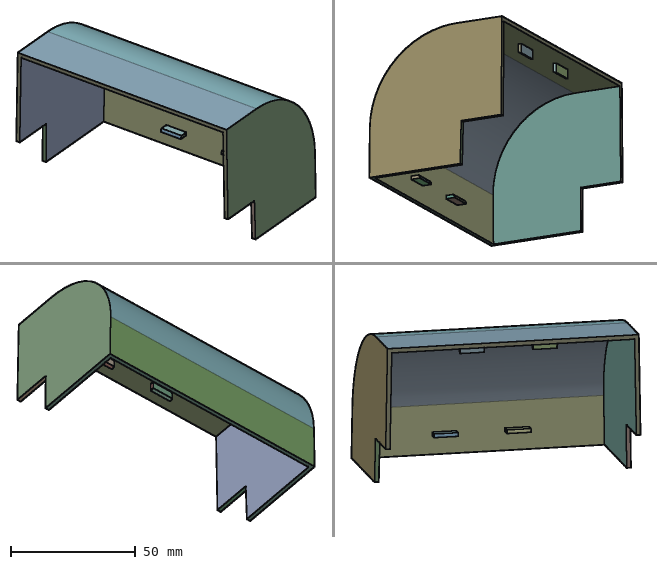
import cadquery as cq
import math

width = 105.6
leg_span = 59.6
wall = 1.8
outer_radius = 39.0
cheek_depth = 41.5
draft_slope = math.tan(math.radians(1.0))

tooth_width = 9.9
tooth_spacing = 30.0
tooth_height = 3.9
tooth_thickness = 1.4
nose_radius = 1.9
tooth_inset = 7.9

half_span = leg_span / 2
front, back = -half_span, half_span
bottom, top = -half_span, half_span
bend_y, bend_z = back - outer_radius, top - outer_radius


def bent_profile(inset):
    """L-shaped side area with a rounded outer corner, offset inwards from the outer plates."""
    radius = outer_radius - inset
    mid = radius * math.sqrt(0.5)
    return (
        cq.Workplane("YZ")
        .moveTo(front, bottom)
        .lineTo(front, top - inset)
        .lineTo(bend_y, top - inset)
        .threePointArc((bend_y + mid, bend_z + mid), (back - inset, bend_z))
        .lineTo(back - inset, bottom)
        .close()
        .extrude(width / 2, both=True)
    )


def drafted_block(bottom_half_width):
    """Full-depth block whose two X sides lean inwards towards the top."""
    top_half_width = bottom_half_width - draft_slope * leg_span
    return (
        cq.Workplane("XZ")
        .polyline([
            (-bottom_half_width, bottom),
            (bottom_half_width, bottom),
            (top_half_width, top),
            (-top_half_width, top),
        ])
        .close()
        .extrude(half_span, both=True)
    )


def corner_notch():
    """Open inner corner of the cheeks, its upright edge leaning back towards the bottom."""
    notch_top = top - cheek_depth
    notch_back = back - cheek_depth
    lean = draft_slope * (notch_top - bottom)
    return (
        cq.Workplane("YZ")
        .polyline([
            (front, bottom),
            (front, notch_top),
            (notch_back, notch_top),
            (notch_back + lean, bottom),
        ])
        .close()
        .extrude(width / 2, both=True)
    )


def tooth_pair(place):
    """Two equal teeth; place maps (distance from free edge, depth below outer face) to (Y, Z)."""
    inner_edge = tooth_inset + tooth_thickness
    tip = wall + tooth_height
    root = wall / 2

    def nose(along):
        """Point on the rounded tip, which is highest on the free-edge side."""
        return place(tooth_inset + along, tip - nose_radius + math.sqrt(nose_radius**2 - along**2))

    teeth = cq.Workplane("YZ")
    for side in (-1, 1):
        start = side * tooth_spacing / 2 - tooth_width / 2
        tooth = (
            cq.Workplane("YZ", origin=(start, 0, 0))
            .moveTo(*place(tooth_inset, root))
            .lineTo(*nose(0))
            .threePointArc(nose(tooth_thickness / 2), nose(tooth_thickness))
            .lineTo(*place(inner_edge, root))
            .close()
            .extrude(tooth_width)
        )
        teeth = teeth.add(tooth)
    return teeth.combine()


shell = bent_profile(0).intersect(drafted_block(width / 2))
cavity = bent_profile(wall).intersect(drafted_block(width / 2 - wall))
body = shell.cut(cavity).cut(corner_notch())

top_teeth = tooth_pair(lambda along, depth: (front + along, top - depth))
back_teeth = tooth_pair(lambda along, depth: (back - depth, bottom + along))

result = body.union(top_teeth).union(back_teeth)